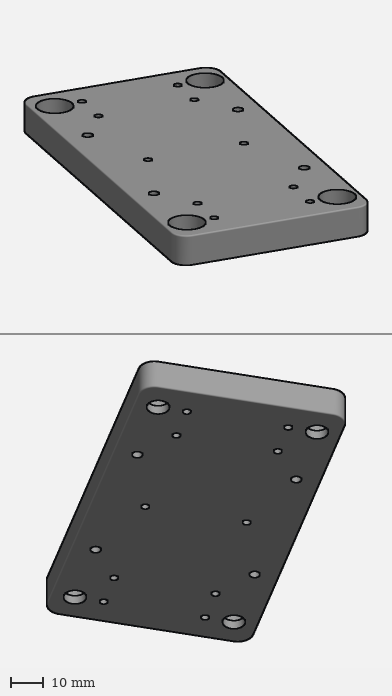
import cadquery as cq

length = 120.0
width = 65.0
thickness = 10.0
corner_radius = 5.0
rim_radius = 0.5

mount_x = 50.0
mount_y = mount_x / 2
mount_diameter = 7.0
counterbore_diameter = 11.5
counterbore_depth = 6.8

medium_x = mount_x / 2
medium_diameter = 3.2

small_row_y = 16.0
small_diameter = 2.5
small_columns = (0, 0.75 * mount_x, mount_x)


def mirrored_points(x, y):
    """Points at (+-x, +-y), without duplicates when x is zero."""
    columns = (-x, x) if x else (0,)
    return [(column, row) for column in columns for row in (-y, y)]


def make_plate():
    """Rounded rectangular plate, centred in X and Y, with rounded rims."""
    plate = cq.Workplane("XY").box(length, width, thickness, centered=(True, True, False))
    plate = plate.edges("|Z").fillet(corner_radius)
    return plate.faces("<Z or >Z").edges().fillet(rim_radius)


def on_top(body):
    """Workplane on the top face with its origin at the plate centre."""
    return body.faces(">Z").workplane(origin=(0, 0, thickness))


result = make_plate()

result = (
    on_top(result)
    .pushPoints(mirrored_points(mount_x, mount_y))
    .cboreHole(mount_diameter, counterbore_diameter, counterbore_depth)
)

result = on_top(result).pushPoints(mirrored_points(medium_x, mount_y)).hole(medium_diameter)

for column_x in small_columns:
    result = on_top(result).pushPoints(mirrored_points(column_x, small_row_y)).hole(small_diameter)